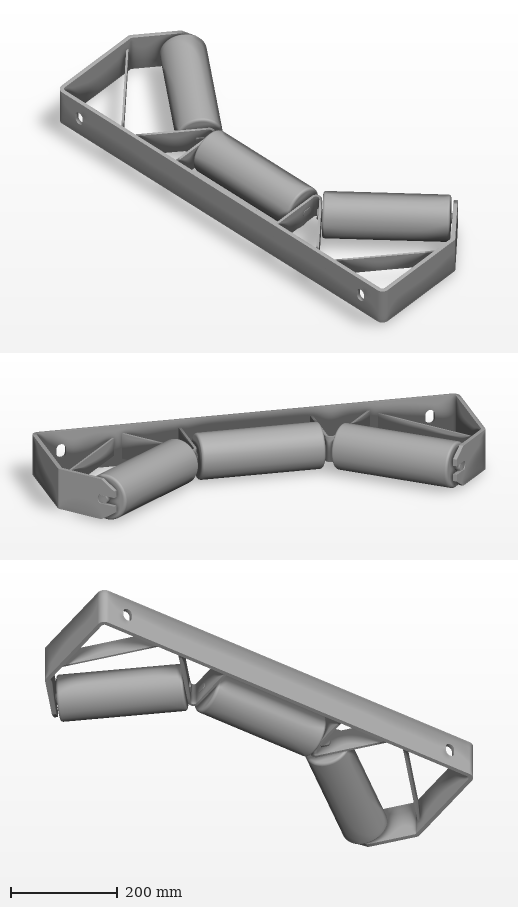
import cadquery as cq
import math

BASE_LENGTH = 830
STRIP_WIDTH = 80
TROUGH_ANGLE = 40

FRAME_THICKNESS = 8
BASE_BEND_RADIUS = 14
ARM_BEND_RADIUS = 9
SIDE_HEIGHT = 200.8
ARM_LENGTH = 128
ARM_CHAMFER_LENGTH = 29
ARM_CHAMFER_WIDTH = 18
ARM_SLOT_WIDTH = 17

MOUNT_SLOT_WIDTH = 18
MOUNT_SLOT_LENGTH = 28
MOUNT_SLOT_X = 358

BRACKET_THICKNESS = 5
BRACKET_WIDTH = 50
BRACKET_BEND_RADIUS = 11
BRACKET_TOP = 130

BRACE_THICKNESS = 4
BRACE_WIDTH = 35
BRACE_TOP = 190.5

ROLLER_DIAMETER = 89
ROLLER_LENGTH = 240
ROLLER_FILLET = 5
SHAFT_DIAMETER = 20
SHAFT_FLAT_WIDTH = 14
SHAFT_OVERHANG = 1
END_GAP = 5
CENTRE_ROLLER_Y = 100.5
WING_ROLLER_Y = 192.3

HALF_BASE = BASE_LENGTH / 2
SIN = math.sin(math.radians(TROUGH_ANGLE))
COS = math.cos(math.radians(TROUGH_ANGLE))
SUPPORT_OFFSET = ROLLER_LENGTH / 2 + END_GAP
SHAFT_HALF_LENGTH = SUPPORT_OFFSET + BRACKET_THICKNESS + SHAFT_OVERHANG
ARM_OFFSET = SUPPORT_OFFSET + FRAME_THICKNESS
WING_ROLLER_X = HALF_BASE - (ARM_OFFSET - (SIDE_HEIGHT - WING_ROLLER_Y) * SIN) / COS


def strip(outline, width):
    """Extrude an XY profile over a width along Z, centred on Z = 0."""
    return outline.close().extrude(width).translate((0, 0, -width / 2))


def round_bar(diameter, length):
    """Cylinder along X, centred on the origin."""
    return cq.Workplane("YZ", origin=(-length / 2, 0, 0)).circle(diameter / 2).extrude(length)


def mirrored(body):
    """The matching body on the -X side."""
    return body.mirror("YZ")


def on_wing_axis(body):
    """Move a body built along X about the origin onto the right wing roller axis."""
    return body.rotate((0, 0, 0), (0, 0, 1), TROUGH_ANGLE).translate((WING_ROLLER_X, WING_ROLLER_Y, 0))


def shaft():
    bar = round_bar(SHAFT_DIAMETER, 2 * SHAFT_HALF_LENGTH)
    flats = cq.Workplane("XY").box(2 * SHAFT_HALF_LENGTH, SHAFT_DIAMETER, SHAFT_FLAT_WIDTH)
    full_round = cq.Workplane("XY").box(2 * SUPPORT_OFFSET, SHAFT_DIAMETER, SHAFT_DIAMETER)
    return bar.intersect(flats.union(full_round))


def roller():
    drum = round_bar(ROLLER_DIAMETER, ROLLER_LENGTH)
    return drum.edges("%CIRCLE").fillet(ROLLER_FILLET).union(shaft())


def arm_end_cutter():
    """Corner cuts and open shaft slot of one arm, in roller axes (X outward, Y along the arm)."""
    corner_y = (SIDE_HEIGHT - WING_ROLLER_Y) * COS - (HALF_BASE - WING_ROLLER_X) * SIN
    tip = corner_y + ARM_LENGTH
    half = STRIP_WIDTH / 2
    radius = SHAFT_DIAMETER / 2
    seat = cq.Workplane("YZ", origin=(SUPPORT_OFFSET, 0, 0)).circle(radius).extrude(FRAME_THICKNESS)
    slot = cq.Workplane("XY").box(
        FRAME_THICKNESS, tip, ARM_SLOT_WIDTH, centered=(False, False, True)
    ).translate((SUPPORT_OFFSET, 0, 0))
    seat_width = cq.Workplane("XY").box(2 * ARM_OFFSET, 2 * radius, ARM_SLOT_WIDTH)
    cutter = slot.union(seat.intersect(seat_width))
    for side in (-1, 1):
        corner = (
            cq.Workplane("YZ", origin=(SUPPORT_OFFSET, 0, 0))
            .moveTo(tip - ARM_CHAMFER_LENGTH, side * half).lineTo(tip, side * half)
            .lineTo(tip, side * (half - ARM_CHAMFER_WIDTH)).close().extrude(FRAME_THICKNESS)
        )
        cutter = cutter.union(corner)
    return on_wing_axis(cutter)


def frame():
    t = FRAME_THICKNESS
    inner_bend = t * math.tan(math.radians(TROUGH_ANGLE / 2))
    tip = (HALF_BASE - ARM_LENGTH * SIN, SIDE_HEIGHT + ARM_LENGTH * COS)
    inner_tip = (tip[0] - t * COS, tip[1] - t * SIN)
    half = strip(
        cq.Workplane("XY").moveTo(0, 0).lineTo(HALF_BASE, 0).lineTo(HALF_BASE, SIDE_HEIGHT)
        .lineTo(*tip).lineTo(*inner_tip)
        .lineTo(HALF_BASE - t, SIDE_HEIGHT - inner_bend).lineTo(HALF_BASE - t, t).lineTo(0, t),
        STRIP_WIDTH,
    )

    def bend(body, x, y, radius):
        """Round the corner line at (x, y)."""
        near = cq.selectors.BoxSelector((x - 1, y - 1, -1), (x + 1, y + 1, 1))
        return body.edges("|Z").edges(near).fillet(radius)

    half = bend(half, HALF_BASE, 0, BASE_BEND_RADIUS)
    half = bend(half, HALF_BASE, SIDE_HEIGHT, ARM_BEND_RADIUS)
    half = bend(half, HALF_BASE - t, t, BASE_BEND_RADIUS - t)
    half = bend(half, HALF_BASE - t, SIDE_HEIGHT - inner_bend, ARM_BEND_RADIUS - t)

    mount_slot = (
        cq.Workplane("XZ").center(MOUNT_SLOT_X, 0)
        .slot2D(MOUNT_SLOT_LENGTH, MOUNT_SLOT_WIDTH, 90).extrude(-t)
    )
    half = half.cut(mount_slot).cut(arm_end_cutter())
    return half.union(mirrored(half))


def bracket():
    outer, t = BRACKET_BEND_RADIUS, BRACKET_THICKNESS
    inner = outer - t
    foot = FRAME_THICKNESS
    crest = (SUPPORT_OFFSET + outer, BRACKET_TOP - outer)

    def on_crest(radius, dx, dy):
        return (crest[0] + radius * dx, crest[1] + radius * dy)

    outer_end = on_crest(outer, COS, SIN)
    inner_end = on_crest(inner, COS, SIN)
    leg_length = (inner_end[1] - foot) / COS
    leg = (leg_length * SIN, -leg_length * COS)
    body = strip(
        cq.Workplane("XY").moveTo(SUPPORT_OFFSET, foot).lineTo(SUPPORT_OFFSET, crest[1])
        .threePointArc(on_crest(outer, 0, 1), outer_end)
        .line(*leg).line(-t * COS, -t * SIN).lineTo(*inner_end)
        .threePointArc(on_crest(inner, 0, 1), (SUPPORT_OFFSET + t, crest[1]))
        .lineTo(SUPPORT_OFFSET + t, foot),
        BRACKET_WIDTH,
    )
    centre_shaft = shaft().translate((0, CENTRE_ROLLER_Y, 0))
    return body.cut(centre_shaft).cut(on_wing_axis(shaft()))


def brace():
    wall = HALF_BASE - FRAME_THICKNESS
    drop = BRACE_THICKNESS / SIN
    length = (BRACE_TOP - drop - FRAME_THICKNESS) / COS
    return strip(
        cq.Workplane("XY").moveTo(wall, BRACE_TOP).lineTo(wall, BRACE_TOP - drop)
        .line(-length * SIN, -length * COS).line(-BRACE_THICKNESS * COS, BRACE_THICKNESS * SIN),
        BRACE_WIDTH,
    )


centre_roller = roller().translate((0, CENTRE_ROLLER_Y, 0))
wing_roller = on_wing_axis(roller())
bodies = [frame().val(), centre_roller.val()]
for part in (wing_roller, bracket(), brace()):
    bodies += [part.val(), mirrored(part).val()]
result = cq.Compound.makeCompound(bodies)